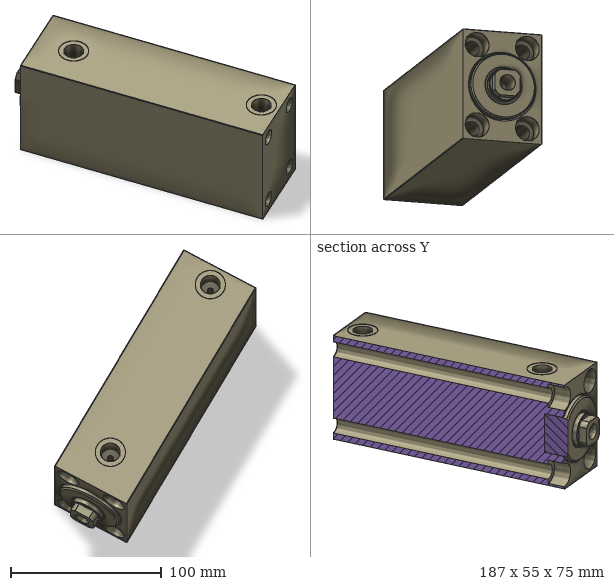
import cadquery as cq
import math


OVERALL_LENGTH = 187.0

BLOCK_LENGTH = 175.0
BLOCK_WIDTH = 55.0
BLOCK_HEIGHT = 75.0
EDGE_CHAMFER = 0.4

BOLT_PITCH_Y = 35.0
BOLT_PITCH_Z = BLOCK_HEIGHT - BLOCK_WIDTH + BOLT_PITCH_Y
BOLT_DIA = 10.5
BOLT_HEAD_DIA = 16.5
BOLT_HEAD_DEPTH = 12.2

FRONT_PORT_X = 26.5
REAR_PORT_X = BLOCK_LENGTH - 12.7
PORT_FACE_DIA = 20.0
PORT_FACE_DEPTH = 0.2
PORT_DIA = 13.0
PORT_DEPTH = 12.0
PORT_DRILL_DIA = 4.0

ROD_DIA = 22.0
ROD_TIP_X = BLOCK_LENGTH - OVERALL_LENGTH
ROD_END_WALL = 10.0
ROD_END_X = BLOCK_LENGTH - ROD_END_WALL
ROD_CHAMFER = 0.5
WRENCH_LENGTH = 5.8
WRENCH_FLATS = 17.5
WRENCH_CORNER_DIA = 20.5
TAP_DIA = 10.7
TAP_DEPTH = 18.7
DRILL_POINT_ANGLE = 118.0

GLAND_DIA = 44.7
GLAND_DEPTH = 15.0
GLAND_PROTRUSION = 3.0
GLAND_CHAMFER_LENGTH = 1.1
GLAND_CHAMFER_STEP = 1.0
SEAT_CHAMFER = 1.1
WIPER_DIA = 25.5
WIPER_DEPTH = 1.0


def x_cylinder(diameter, start, end):
    """Cylinder on the rod axis, from X = start to X = end."""
    return cq.Workplane("YZ", origin=(start, 0, 0)).circle(diameter / 2).extrude(end - start)


def z_cylinder(diameter, x, bottom, top):
    """Upright cylinder in the middle plane of the block."""
    return cq.Workplane("XY", origin=(x, 0, bottom)).circle(diameter / 2).extrude(top - bottom)


def make_port(x):
    """Cutter for one oil port: spot face, threaded hole and drilling down into the rod bore."""
    top = BLOCK_HEIGHT / 2
    spot_face = z_cylinder(PORT_FACE_DIA, x, top - PORT_FACE_DEPTH, top)
    thread = z_cylinder(PORT_DIA, x, top - PORT_DEPTH, top)
    drilling = z_cylinder(PORT_DRILL_DIA, x, 0, top)
    return spot_face.union(thread).union(drilling)


def make_gland_seat():
    """Cutter for the gland seat, with a chamfer around its mouth."""
    radius = GLAND_DIA / 2
    profile = [
        (0, 0),
        (0, radius + SEAT_CHAMFER),
        (SEAT_CHAMFER, radius),
        (GLAND_DEPTH, radius),
        (GLAND_DEPTH, 0),
    ]
    return cq.Workplane("XY").polyline(profile).close().revolve(360, (0, 0, 0), (1, 0, 0))


def make_housing():
    """Rectangular block with mounting holes, oil ports and the seats of the gland and rod."""
    block = (
        cq.Workplane("XY")
        .box(BLOCK_LENGTH, BLOCK_WIDTH, BLOCK_HEIGHT, centered=(False, True, True))
        .edges("|X")
        .chamfer(EDGE_CHAMFER)
    )
    block = (
        block.faces("<X")
        .workplane(origin=(0, 0, 0))
        .rect(BOLT_PITCH_Y, BOLT_PITCH_Z, forConstruction=True)
        .vertices()
        .cboreHole(BOLT_DIA, BOLT_HEAD_DIA, BOLT_HEAD_DEPTH)
    )
    for x in (FRONT_PORT_X, REAR_PORT_X):
        block = block.cut(make_port(x))
    rod_bore = x_cylinder(ROD_DIA, 0, ROD_END_X)
    return block.cut(make_gland_seat()).cut(rod_bore)


def make_gland():
    """Chamfered ring around the rod, standing proud of the block, with a shallow wiper recess."""
    outer_radius = GLAND_DIA / 2
    bore_radius = ROD_DIA / 2
    wiper_radius = WIPER_DIA / 2
    face_x = -GLAND_PROTRUSION
    profile = [
        (GLAND_DEPTH, bore_radius),
        (GLAND_DEPTH, outer_radius),
        (face_x + GLAND_CHAMFER_LENGTH, outer_radius),
        (face_x, outer_radius - GLAND_CHAMFER_STEP),
        (face_x, wiper_radius),
        (face_x + WIPER_DEPTH, wiper_radius),
        (face_x + WIPER_DEPTH, bore_radius),
    ]
    return cq.Workplane("XY").polyline(profile).close().revolve(360, (0, 0, 0), (1, 0, 0))


def make_tapped_hole():
    """Cutter for the hole in the rod tip, ending in a drill point."""
    radius = TAP_DIA / 2
    shoulder_x = ROD_TIP_X + TAP_DEPTH
    point_x = shoulder_x + radius / math.tan(math.radians(DRILL_POINT_ANGLE / 2))
    profile = [(ROD_TIP_X, 0), (ROD_TIP_X, radius), (shoulder_x, radius), (point_x, 0)]
    return cq.Workplane("XY").polyline(profile).close().revolve(360, (0, 0, 0), (1, 0, 0))


def make_rod():
    """Round rod with a chamfered shoulder and a square wrench end with rounded corners."""
    shoulder_x = ROD_TIP_X + WRENCH_LENGTH
    shaft = x_cylinder(ROD_DIA, shoulder_x, ROD_END_X).faces("<X").chamfer(ROD_CHAMFER)
    square = (
        cq.Workplane("YZ", origin=(ROD_TIP_X, 0, 0))
        .rect(WRENCH_FLATS, WRENCH_FLATS)
        .extrude(WRENCH_LENGTH)
    )
    wrench_end = square.intersect(x_cylinder(WRENCH_CORNER_DIA, ROD_TIP_X, shoulder_x))
    return shaft.union(wrench_end).cut(make_tapped_hole())


housing = make_housing()
gland = make_gland()
rod = make_rod()

result = cq.Compound.makeCompound([housing.val(), gland.val(), rod.val()])